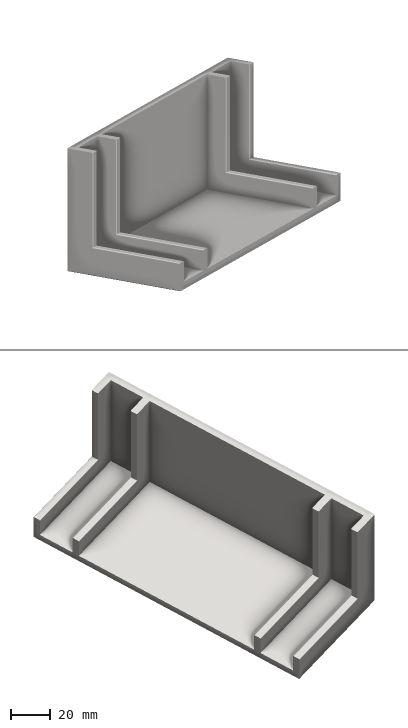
import cadquery as cq

leg_length = 65.0
bracket_width = 164.0
plate_thickness = 4.0
rib_thickness = 4.0
leg_depth = 15.0
end_bay_width = 20.0
edge_radius = 0.5

half_width = bracket_width / 2
end_rib_y = half_width - rib_thickness / 2
inner_rib_y = end_rib_y - rib_thickness - end_bay_width
rib_centres_y = (-end_rib_y, -inner_rib_y, inner_rib_y, end_rib_y)


def angle_section(depth, width, centre_y):
    """L-shaped prism with legs of the given depth, centred on centre_y."""
    return (
        cq.Workplane("XZ", origin=(0, centre_y + width / 2, 0))
        .moveTo(0, 0)
        .lineTo(leg_length, 0)
        .lineTo(leg_length, depth)
        .lineTo(depth, depth)
        .lineTo(depth, leg_length)
        .lineTo(0, leg_length)
        .close()
        .extrude(width)
    )


def edges_at(body, x_range, z_range):
    """Edges whose centres lie within the given X and Z ranges, at any Y."""
    selector = cq.selectors.BoxSelector(
        (x_range[0], -bracket_width, z_range[0]),
        (x_range[1], bracket_width, z_range[1]),
    )
    return body.edges(selector)


def round_rib_tips(body):
    """Round the long edges on the inner, free side of every rib."""
    middle = (leg_depth + leg_length) / 2
    near_tip = (leg_depth - edge_radius, leg_depth + edge_radius)
    near_middle = (middle - edge_radius, middle + edge_radius)
    wall_tips = edges_at(body, near_tip, near_middle)
    floor_tips = edges_at(body, near_middle, near_tip)
    return wall_tips.add(floor_tips).fillet(edge_radius)


def round_outer_corner(body):
    """Round the border of the back and bottom faces, except at the open leg ends."""
    back_edges = body.faces("<X").edges("not >Z")
    bottom_edges = body.faces("<Z").edges("not >X")
    return back_edges.add(bottom_edges).fillet(edge_radius)


bracket = angle_section(plate_thickness, bracket_width, 0)
for rib_y in rib_centres_y:
    bracket = bracket.union(angle_section(leg_depth, rib_thickness, rib_y))

bracket = round_rib_tips(bracket)
result = round_outer_corner(bracket)